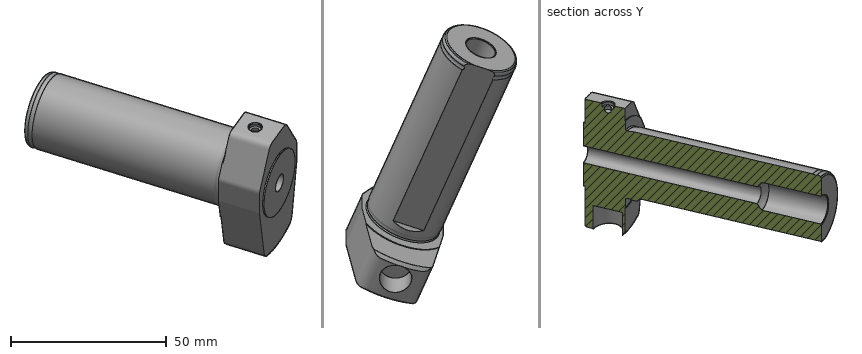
import cadquery as cq
import math

length = 85.0
face_boss_height = 0.5
face_boss_radius = 11.65
head_back = length - face_boss_height
collar_front = 69.9
collar_height = 0.25
collar_radius = 16.1
head_front = collar_front + collar_height

shaft_radius = 25.4 / 2
groove_radius = 25.0 / 2
end_bevel_length = 0.25
end_bevel_height = 0.5
end_round_drop = 0.4
end_groove_start = 1.5
end_groove_end = 3.1
end_groove_depth = 0.2
relief_start = 67.75
relief_taper = 0.8
relief_floor_end = 69.3
flat_height = 11.6
flat_end = 64.85
flat_runout = 1.0

head_half_width = 28.0 / 2
head_top = 20.5
head_bottom_radius = 26.5
top_corner_half_width = 5.95
shoulder_angle = 30.0
lower_taper_start = -2.2
lower_taper_angle = 10.0
corner_round = 3.0
bottom_corner_round = 5.1
front_chamfer = 1.1
back_chamfer = 0.5

bore_mouth_radius = 10.5 / 2
bore_radius = 10.0 / 2
bore_depth = 21.25
seat_radius = 8.2 / 2
seat_depth = 0.85
through_radius = 6.0 / 2
bore_end = bore_depth + bore_radius - seat_radius
seat_end = bore_end + seat_depth

cross_hole_x = 76.3
top_hole_mouth_radius = 4.6 / 2
top_hole_radius = 4.0 / 2
top_hole_depth = 1.3
pilot_radius = 2.3 / 2
pilot_depth = 2.55
pilot_point = 0.7
bottom_hole_radius = 10.4 / 2
bottom_hole_depth = 8.5


def revolve_about_x(profile):
    """Turn a closed (x, radius) profile about the X axis."""
    return profile.close().revolve(360, (0, 0, 0), (1, 0, 0))


def cylinder_x(start, end, radius):
    return cq.Workplane("YZ", origin=(start, 0, 0)).circle(radius).extrude(end - start)


def make_shaft():
    groove_middle = (end_groove_start + end_groove_end) / 2
    round_start_radius = shaft_radius - end_round_drop
    round_length = end_groove_start - end_bevel_length
    round_radius = (round_length**2 + end_round_drop**2) / (2 * end_round_drop)
    profile = (
        cq.Workplane("XZ")
        .moveTo(0, 0)
        .lineTo(0, round_start_radius - end_bevel_height)
        .lineTo(end_bevel_length, round_start_radius)
        .radiusArc((end_groove_start, shaft_radius), round_radius)
        .threePointArc(
            (groove_middle, shaft_radius - end_groove_depth), (end_groove_end, shaft_radius)
        )
        .lineTo(relief_start, shaft_radius)
        .lineTo(relief_start + relief_taper, groove_radius)
        .lineTo(relief_floor_end, groove_radius)
        .lineTo(collar_front, shaft_radius)
        .lineTo(head_front, shaft_radius)
        .lineTo(head_front, 0)
    )
    flat = (
        cq.Workplane("XZ")
        .moveTo(0, -flat_height)
        .lineTo(flat_end, -flat_height)
        .lineTo(flat_end + flat_runout, -shaft_radius)
        .lineTo(flat_end + flat_runout, -shaft_radius - 0.85)
        .lineTo(0, -shaft_radius - 0.85)
        .close()
        .extrude(shaft_radius, both=True)
    )
    return revolve_about_x(profile).cut(flat)


def make_head_block():
    shoulder_z = head_top - (head_half_width - top_corner_half_width) / math.tan(
        math.radians(shoulder_angle)
    )
    lower_half_width = head_half_width - (head_bottom_radius + lower_taper_start) * math.tan(
        math.radians(lower_taper_angle)
    )
    right_side = [
        (top_corner_half_width, head_top),
        (head_half_width, shoulder_z),
        (head_half_width, lower_taper_start),
        (lower_half_width, -head_bottom_radius),
    ]
    left_side = [(-y, z) for y, z in reversed(right_side)]
    block = (
        cq.Workplane("YZ", origin=(collar_front, 0, 0))
        .polyline(right_side + left_side)
        .close()
        .extrude(head_back - collar_front)
    )
    upper_corners = cq.selectors.BoxSelector(
        (collar_front, -head_half_width - 0.85, shoulder_z - 0.85),
        (head_back, head_half_width + 0.85, head_top + 0.85),
    )
    block = block.edges("|X").edges(upper_corners).fillet(corner_round)
    block = block.intersect(cylinder_x(collar_front, head_back, head_bottom_radius))
    bottom_corners = cq.selectors.BoxSelector(
        (collar_front, -head_half_width, -head_bottom_radius),
        (head_back, head_half_width, -head_top),
    )
    return block.edges("|X").edges(bottom_corners).fillet(bottom_corner_round)


def make_head():
    envelope = (
        cylinder_x(head_front, head_back, head_bottom_radius)
        .faces("<X").chamfer(front_chamfer)
        .faces(">X").chamfer(back_chamfer)
        .union(cylinder_x(collar_front, head_front, collar_radius))
    )
    return make_head_block().intersect(envelope)


def make_bore():
    return revolve_about_x(
        cq.Workplane("XZ")
        .moveTo(0, 0)
        .lineTo(0, bore_mouth_radius)
        .lineTo(bore_mouth_radius - bore_radius, bore_radius)
        .lineTo(bore_depth, bore_radius)
        .lineTo(bore_end, seat_radius)
        .lineTo(seat_end, through_radius)
        .lineTo(length, through_radius)
        .lineTo(length, 0)
    )


def make_top_hole():
    """Countersunk stepped hole with a drill point, sunk from the top of the head."""
    step = head_top - top_hole_depth
    pilot_floor = head_top - pilot_depth
    return (
        cq.Workplane("XZ", origin=(cross_hole_x, 0, 0))
        .moveTo(0, head_top)
        .lineTo(top_hole_mouth_radius, head_top)
        .lineTo(top_hole_radius, head_top - (top_hole_mouth_radius - top_hole_radius))
        .lineTo(top_hole_radius, step)
        .lineTo(pilot_radius, step)
        .lineTo(pilot_radius, pilot_floor)
        .lineTo(0, pilot_floor - pilot_point)
        .close()
        .revolve(360, (0, 0, 0), (0, 1, 0))
    )


def make_bottom_hole():
    return (
        cq.Workplane("XY", origin=(cross_hole_x, 0, -head_bottom_radius))
        .circle(bottom_hole_radius)
        .extrude(bottom_hole_depth)
    )


result = (
    make_shaft()
    .union(make_head())
    .union(cylinder_x(head_back, length, face_boss_radius))
    .cut(make_bore())
    .cut(make_top_hole())
    .cut(make_bottom_hole())
)